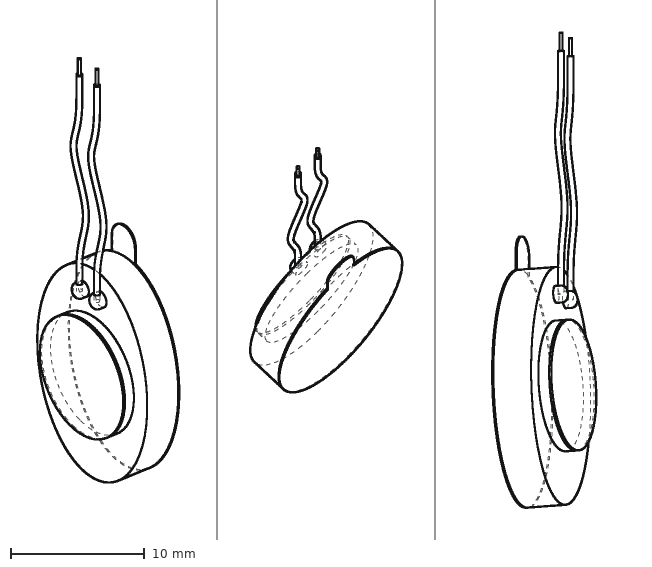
import cadquery as cq

total_height = 35.75
oval_width = 12.98
oval_height = 18.02

plate_thickness = 0.1
housing_depth = 3.0
tab_width = 2.7
tab_top = 11.62

disc_diameter = 9.83
disc_depth = 0.85
film_thickness = 0.18

solder_radius = 0.65
solder_depth = 0.82
solder_fillet = 0.4
solder_z = 6.8
solder_spacing = 2.07

wire_diameter = 0.45
core_diameter = 0.25
wire_y = -0.4
core_length = 1.4
upper_straight = 2.07
bend_start_z = 8.75
lower_crest = (0.75, 13.9)
upper_crest = (-0.68, 18.7)

wire_tip_z = total_height - oval_height / 2
insulation_end_z = wire_tip_z - core_length
bend_end_z = insulation_end_z - upper_straight
joint_positions = [-solder_spacing / 2, solder_spacing / 2]


def front_plane(y):
    """Sketch plane at depth y, with X to the right, Z up and its normal toward -Y."""
    return cq.Workplane("XZ", origin=(0, y, 0))


def oval_slab(front_y, depth):
    """Elliptical slab extending from front_y toward the back."""
    return front_plane(front_y).ellipse(oval_width / 2, oval_height / 2).extrude(-depth)


def make_housing():
    return oval_slab(0, housing_depth)


def make_backing_plate():
    """Thin oval sheet with a round-ended pull tab at the top."""
    tab_radius = tab_width / 2
    tab_shoulder = tab_top - tab_radius
    tab = (
        front_plane(housing_depth)
        .moveTo(-tab_radius, 0)
        .lineTo(tab_radius, 0)
        .lineTo(tab_radius, tab_shoulder)
        .threePointArc((0, tab_top), (-tab_radius, tab_shoulder))
        .close()
        .extrude(-plate_thickness)
    )
    return oval_slab(housing_depth, plate_thickness).union(tab)


def make_disc():
    return front_plane(0).circle(disc_diameter / 2).extrude(disc_depth)


def make_film():
    return front_plane(-disc_depth).circle(disc_diameter / 2).extrude(film_thickness)


def make_wire(x):
    """Wavy insulated wire from the solder joint up to its bare core tip."""
    def rod(bottom_z, top_z, diameter):
        base = cq.Workplane("XY", origin=(x, wire_y, bottom_z))
        return base.circle(diameter / 2).extrude(top_z - bottom_z)

    bend_points = [(0, bend_start_z), lower_crest, upper_crest, (0, bend_end_z)]
    bend_path = cq.Workplane("XZ", origin=(x, wire_y, 0)).spline(bend_points, tangents=[(0, 1), (0, 1)])
    bend_base = cq.Workplane("XY", origin=(x, wire_y, bend_start_z))
    bend = bend_base.circle(wire_diameter / 2).sweep(bend_path)

    lower_end = rod(solder_z, bend_start_z, wire_diameter)
    upper_end = rod(bend_end_z, insulation_end_z, wire_diameter)
    core = rod(insulation_end_z, wire_tip_z, core_diameter)
    return lower_end.union(bend).union(upper_end).union(core)


def make_solder(x, wire):
    """Domed solder joint on the housing face, hollowed where the wire enters it."""
    bead = front_plane(0).center(x, solder_z).circle(solder_radius).extrude(solder_depth)
    return bead.faces("<Y").edges().fillet(solder_fillet).cut(wire)


housing = make_housing()
backing_plate = make_backing_plate()
disc = make_disc()
film = make_film()

wires = []
solders = []
for joint_x in joint_positions:
    wire = make_wire(joint_x)
    wires.append(wire.val())
    solders.append(make_solder(joint_x, wire).val())

result = cq.Compound.makeCompound(
    [housing.val(), backing_plate.val(), disc.val(), film.val(), *wires, *solders]
)